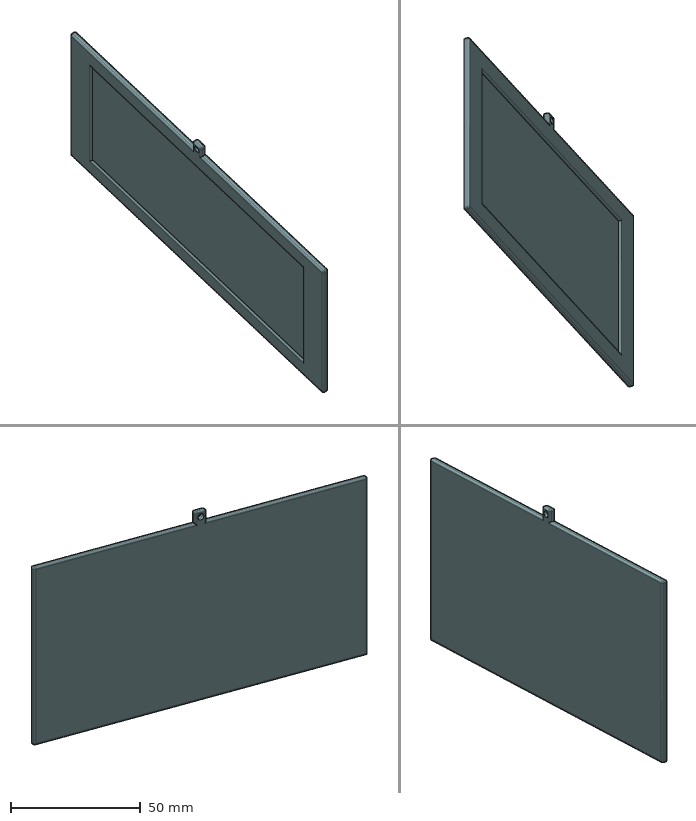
import cadquery as cq

length = 152.4
height = 76.2
thickness = 2.6
edge_radius = 0.84

total_height = 81.2
tab_width = 5.2
hole_diameter = 2.6

window_length = 129.0
window_height = 60.4
window_bottom = 7.8
window_depth = 0.9
window_rim_radius = 0.8


def is_outer_corner(edge):
    """True except for the two inner corners where the tab meets the plate."""
    centre = edge.Center()
    at_tab_root = abs(centre.x) < tab_width and centre.z < (height + total_height) / 2
    return not at_tab_root


def make_plate_with_tab():
    """Plate and tab share one outline, with every outer edge rounded."""
    half_length = length / 2
    half_tab = tab_width / 2
    outline = [
        (-half_length, 0),
        (half_length, 0),
        (half_length, height),
        (half_tab, height),
        (half_tab, total_height),
        (-half_tab, total_height),
        (-half_tab, height),
        (-half_length, height),
    ]
    body = cq.Workplane("XZ", origin=(0, thickness / 2, 0)).polyline(outline).close().extrude(thickness)
    outer_corners = body.edges("|Y").filter(is_outer_corner)
    return outer_corners.fillet(edge_radius).faces("<Y or >Y").edges().fillet(edge_radius)


def cut_window(body):
    """Cut the rectangular recess, then round its rim on the front face."""
    floor_y = window_depth - thickness / 2
    centre_z = window_bottom + window_height / 2
    opening_length = window_length - 2 * window_rim_radius
    opening_height = window_height - 2 * window_rim_radius
    recess = (
        cq.Workplane("XZ", origin=(0, floor_y, centre_z))
        .rect(opening_length, opening_height)
        .extrude(thickness)
    )
    body = body.cut(recess)
    front_wire = body.faces("<Y").val().innerWires()[0]
    return body.newObject(front_wire.Edges()).fillet(window_rim_radius)


def make_tab_hole():
    """Round hole through the tab, equally far from its top and its sides."""
    centre_z = total_height - tab_width / 2
    return (
        cq.Workplane("XZ", origin=(0, 0, centre_z))
        .circle(hole_diameter / 2)
        .extrude(thickness, both=True)
    )


result = cut_window(make_plate_with_tab()).cut(make_tab_hole())